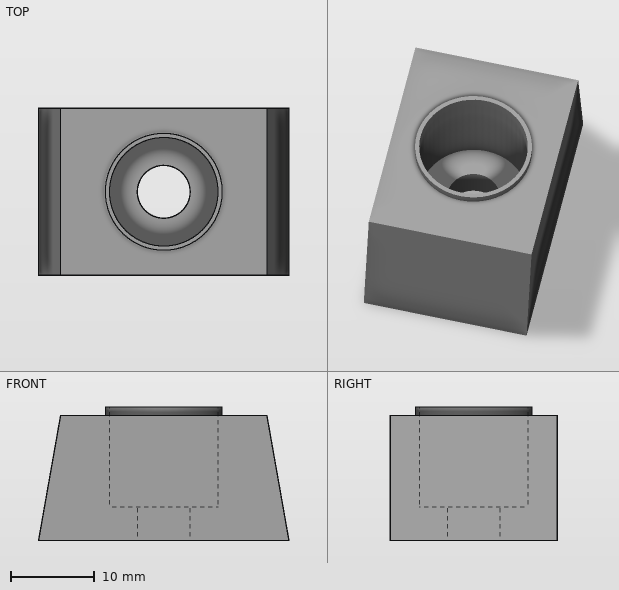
import cadquery as cq
import math

base_length = 30.0
width = 20.0
block_height = 15.0
end_taper_angle = 10.0
top_length = base_length - 2 * block_height * math.tan(math.radians(end_taper_angle))

collar_diameter = 14.0
collar_height = 1.0
total_height = block_height + collar_height

bore_diameter = 13.0
floor_thickness = 4.0
through_hole_diameter = 6.3


def make_block():
    """Block with a trapezoidal XZ profile, centred on X and Y, standing on Z = 0."""
    profile = [
        (-base_length / 2, 0),
        (base_length / 2, 0),
        (top_length / 2, block_height),
        (-top_length / 2, block_height),
    ]
    return cq.Workplane("XZ").polyline(profile).close().extrude(width / 2, both=True)


def vertical_cylinder(diameter, bottom, top):
    """Cylinder on the Z axis between two heights."""
    return cq.Workplane("XY").workplane(offset=bottom).circle(diameter / 2).extrude(top - bottom)


collar = vertical_cylinder(collar_diameter, block_height, total_height)
bore = vertical_cylinder(bore_diameter, floor_thickness, total_height)
through_hole = vertical_cylinder(through_hole_diameter, 0, floor_thickness)

result = make_block().union(collar).cut(bore).cut(through_hole)